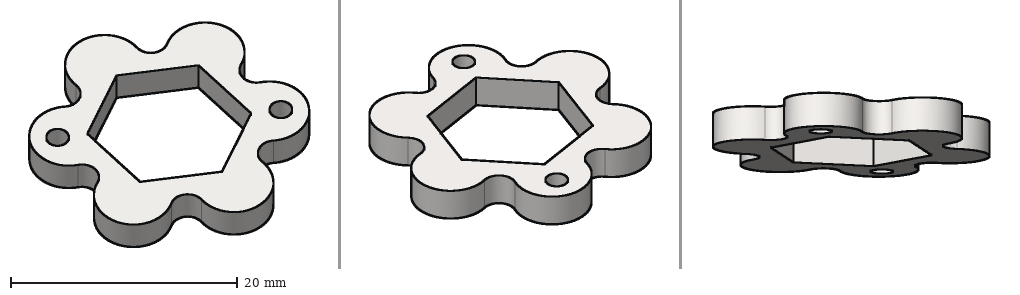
import cadquery as cq
import math

thickness = 3.0
lobe_count = 6
lobe_circle_radius = 9.0
lobe_radius = 3.5
valley_radius = 1.5
hex_across_flats = 12.68
pin_hole_diameter = 2.0
pin_hole_circle_radius = 10.0
pin_hole_angles = (60.0, 240.0)

lobe_step = 360.0 / lobe_count
half_step = math.radians(lobe_step / 2)
half_lobe_spacing = lobe_circle_radius * math.sin(half_step)
valley_circle_radius = lobe_circle_radius * math.cos(half_step) + math.sqrt(
    (lobe_radius + valley_radius) ** 2 - half_lobe_spacing**2
)
hex_across_corners = hex_across_flats / math.cos(math.pi / 6)


def polar(radius, angle):
    """Point at the given radius and angle in degrees about the part centre."""
    turn = math.radians(angle)
    return (radius * math.cos(turn), radius * math.sin(turn))


def tangent_point(lobe_angle, valley_angle):
    """Point where a lobe arc meets the neighbouring valley arc."""
    lobe = polar(lobe_circle_radius, lobe_angle)
    valley = polar(valley_circle_radius, valley_angle)
    share = lobe_radius / (lobe_radius + valley_radius)
    return tuple(a + (b - a) * share for a, b in zip(lobe, valley))


def lobed_plate():
    """Plate outlined by alternating convex lobes and concave valleys."""
    outline = cq.Workplane("XY").moveTo(*tangent_point(0, -lobe_step / 2))
    for index in range(lobe_count):
        lobe_angle = index * lobe_step
        valley_angle = lobe_angle + lobe_step / 2
        lobe_tip = polar(lobe_circle_radius + lobe_radius, lobe_angle)
        valley_floor = polar(valley_circle_radius - valley_radius, valley_angle)
        outline = outline.threePointArc(lobe_tip, tangent_point(lobe_angle, valley_angle))
        outline = outline.threePointArc(
            valley_floor, tangent_point(lobe_angle + lobe_step, valley_angle)
        )
    return outline.close().extrude(thickness)


def hex_opening():
    """Central hexagon with two corners on the X axis."""
    return cq.Workplane("XY").polygon(6, hex_across_corners).extrude(thickness)


def pin_holes():
    """Pair of opposite through holes."""
    centres = [polar(pin_hole_circle_radius, angle) for angle in pin_hole_angles]
    return cq.Workplane("XY").pushPoints(centres).circle(pin_hole_diameter / 2).extrude(thickness)


result = lobed_plate().cut(hex_opening()).cut(pin_holes())